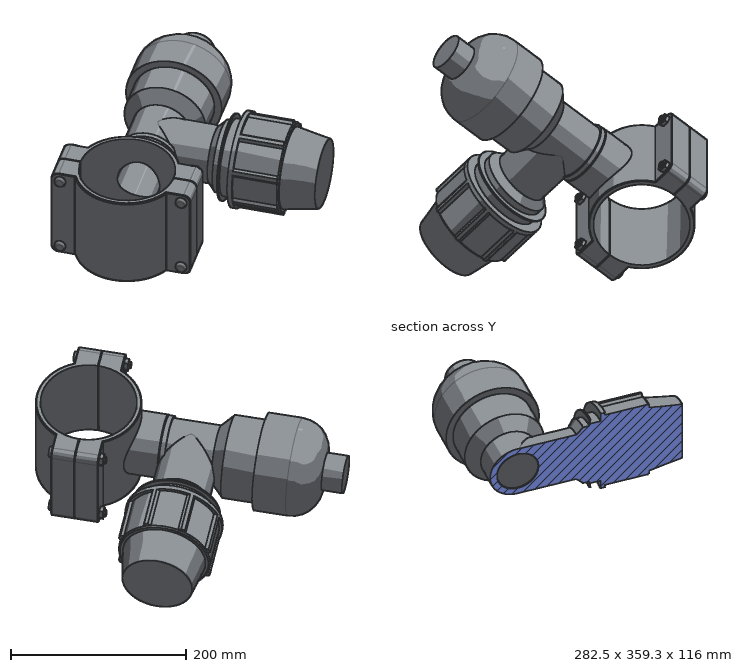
import cadquery as cq
import math

clamp_height = 116.0
clamp_bore_dia = 110.0
shell_thickness = 5.5
shell_radius = clamp_bore_dia / 2 + shell_thickness
ear_span = 164.6
ear_depth = 55.0
ear_corner_radius = 8.5
clamp_edge_chamfer = 1.0
split_gap = 1.3
bore_edge_chamfer = 0.8

bolt_x = 71.6
bolt_z = 47.5
bolt_shank_dia = 8.0
bolt_head_dia = 13.0
bolt_head_height = 4.0
bolt_head_edge_radius = 2.4
bolt_tip_chamfer = 1.0
nut_flats = 13.0
nut_height = 4.5
bolt_tip_length = 7.5

run_dia = 67.8
socket_dia = 73.65
socket_lip_dia = socket_dia - 1.0
socket_shoulder_y = 87.0
socket_shoulder_length = 1.2
socket_top_y = 94.2
saddle_bore_dia = 50.0
cone_start_y = 149.3
neck_start_y = 163.3
cap_start_y = 201.3
dome_top_y = 274.9
outlet_end_y = 298.78
neck_dia = 96.31
cap_dia = 113.31
outlet_dia = 43.6
dome_radius = (cap_dia - outlet_dia) / 2

branch_y = 120.0
branch_end_x = 282.5 - ear_span / 2
branch_dia = 67.5
branch_cone_start_x = 71.0
collar_start_x = 79.3
collar_dia = 84.75
thin_flange_start_x = 86.9
thin_flange_thickness = 1.8
thin_flange_dia = 101.7
barrel_dia = 90.4

nut_flange_start_x = 100.6
nut_flange_end_x = 106.2
nut_flange_dia = 113.0
nut_body_dia = 106.2
nut_body_end_x = 160.0
nut_body_chamfer = 1.7
nut_cone_start_dia = 96.0
nut_cone_end_dia = 82.0
nut_end_chamfer_length = 1.0
nut_end_chamfer_depth = 0.5
rib_count = 8
rib_top_width = 4.8
rib_base_width = 9.6
rib_end_x = nut_body_end_x - nut_body_chamfer


def along_y(start_y, end_y, dia):
    """Cylinder on the run axis."""
    return cq.Workplane("XZ", origin=(0, start_y, 0)).circle(dia / 2).extrude(start_y - end_y)


def make_clamp_blank():
    """Solid barrel with an ear on each side, before boring and splitting."""
    barrel = cq.Workplane("XY").circle(shell_radius).extrude(clamp_height / 2, both=True)
    ears = (
        cq.Workplane("XY")
        .box(ear_span, ear_depth, clamp_height)
        .edges("|Y")
        .fillet(ear_corner_radius)
    )
    ears = ears.faces("<Y or >Y").chamfer(clamp_edge_chamfer)
    barrel = barrel.faces("<Z or >Z").chamfer(clamp_edge_chamfer)
    return barrel.union(ears)


def make_bolt():
    """Round-head bolt with a hex nut, centred on the Y axis."""
    ear_face = ear_depth / 2
    shank = (
        along_y(-ear_face, ear_face + bolt_tip_length, bolt_shank_dia)
        .faces(">Y")
        .chamfer(bolt_tip_chamfer)
    )
    head = (
        along_y(-ear_face, -ear_face - bolt_head_height, bolt_head_dia)
        .faces("<Y")
        .edges()
        .fillet(bolt_head_edge_radius)
    )
    nut_corners = nut_flats * 2 / math.sqrt(3)
    nut = (
        cq.Workplane("XZ", origin=(0, ear_face, 0))
        .polygon(6, nut_corners)
        .extrude(-nut_height)
    )
    return shank.union(head).union(nut)


def make_run():
    """Revolved body from the saddle up to the domed cap and its outlet."""
    dome_base_y = dome_top_y - dome_radius
    dome_mid = (
        outlet_dia / 2 + dome_radius * math.cos(math.pi / 4),
        dome_base_y + dome_radius * math.sin(math.pi / 4),
    )
    return (
        cq.Workplane("XY")
        .moveTo(0, 0)
        .lineTo(socket_dia / 2, 0)
        .lineTo(socket_dia / 2, socket_shoulder_y)
        .lineTo(socket_lip_dia / 2, socket_shoulder_y + socket_shoulder_length)
        .lineTo(socket_lip_dia / 2, socket_top_y)
        .lineTo(run_dia / 2, socket_top_y)
        .lineTo(run_dia / 2, cone_start_y)
        .lineTo(neck_dia / 2, neck_start_y)
        .lineTo(neck_dia / 2, cap_start_y)
        .lineTo(cap_dia / 2, cap_start_y)
        .lineTo(cap_dia / 2, dome_base_y)
        .threePointArc(dome_mid, (outlet_dia / 2, dome_top_y))
        .lineTo(outlet_dia / 2, outlet_end_y)
        .lineTo(0, outlet_end_y)
        .close()
        .revolve(360, (0, 0, 0), (0, 1, 0))
    )


def make_branch():
    """Revolved branch pipe, collars and compression nut before its grip panels."""
    thin_flange_end_x = thin_flange_start_x + thin_flange_thickness
    profile = [
        (0, 0),
        (0, branch_dia / 2),
        (branch_cone_start_x, branch_dia / 2),
        (collar_start_x, collar_dia / 2),
        (thin_flange_start_x, collar_dia / 2),
        (thin_flange_start_x, thin_flange_dia / 2),
        (thin_flange_end_x, thin_flange_dia / 2),
        (thin_flange_end_x, barrel_dia / 2),
        (nut_flange_start_x, barrel_dia / 2),
        (nut_flange_start_x, nut_flange_dia / 2),
        (rib_end_x, nut_flange_dia / 2),
        (rib_end_x, nut_body_dia / 2),
        (nut_body_end_x, nut_body_dia / 2 - nut_body_chamfer),
        (nut_body_end_x, nut_cone_start_dia / 2),
        (branch_end_x - nut_end_chamfer_length, nut_cone_end_dia / 2),
        (branch_end_x, nut_cone_end_dia / 2 - nut_end_chamfer_depth),
        (branch_end_x, 0),
    ]
    body = cq.Workplane("XY").polyline(profile).close().revolve(360, (0, 0, 0), (1, 0, 0))
    return body.translate((0, branch_y, 0))


def cut_grip_panels(branch):
    """Sink the panels between the ribs, leaving the ribs flush with the nut flange."""
    base_radius = nut_body_dia / 2
    flank_run = (nut_flange_dia - nut_body_dia) / 2
    flank_turn = (rib_base_width - rib_top_width) / 2 / flank_run
    outer_radius = base_radius + 2 * flank_run
    outer_rib_width = rib_base_width - 4 * flank_run * flank_turn
    half_pitch = math.pi / rib_count
    base_angle = half_pitch - math.asin(rib_base_width / 2 / base_radius)
    outer_angle = half_pitch - math.asin(outer_rib_width / 2 / outer_radius)

    def polar(radius, angle):
        return (radius * math.cos(angle), radius * math.sin(angle))

    panel = (
        cq.Workplane("YZ", origin=(nut_flange_end_x, 0, 0))
        .moveTo(*polar(base_radius, -base_angle))
        .threePointArc((base_radius, 0), polar(base_radius, base_angle))
        .lineTo(*polar(outer_radius, outer_angle))
        .threePointArc((outer_radius, 0), polar(outer_radius, -outer_angle))
        .close()
        .extrude(rib_end_x - nut_flange_end_x)
        .translate((0, branch_y, 0))
    )
    for index in range(rib_count):
        turn = 360 / rib_count * index
        branch = branch.cut(panel.rotate((0, branch_y, 0), (1, branch_y, 0), turn))
    return branch


def make_pipe_bore():
    """Space taken by the clamped pipe."""
    return cq.Workplane("XY").circle(clamp_bore_dia / 2).extrude(clamp_height, both=True)


def make_half_space(side):
    """Block holding everything on one side (+1 or -1 along Y) of the split gap."""
    depth = 2 * shell_radius
    centre_y = side * (split_gap + depth) / 2
    return cq.Workplane("XY").box(2 * ear_span, depth, 2 * clamp_height).translate((0, centre_y, 0))


def make_strap():
    """Plain clamp half with eased bore edges."""
    strap = make_clamp_blank().intersect(make_half_space(-1)).cut(make_pipe_bore())
    bore_wall = cq.selectors.NearestToPointSelector((0, -clamp_bore_dia / 2, 0))
    return strap.faces(bore_wall).edges().chamfer(bore_edge_chamfer)


def make_saddle():
    """Clamp half carrying the tee, its saddle bore reaching the branch axis."""
    half = make_clamp_blank().intersect(make_half_space(1))
    branch = cut_grip_panels(make_branch())
    saddle = half.union(make_run()).union(branch)
    return saddle.cut(make_pipe_bore()).cut(along_y(0, branch_y, saddle_bore_dia))


result = make_saddle().union(make_strap())
bolt = make_bolt()
for x in (-bolt_x, bolt_x):
    for z in (-bolt_z, bolt_z):
        result = result.union(bolt.translate((x, 0, z)))